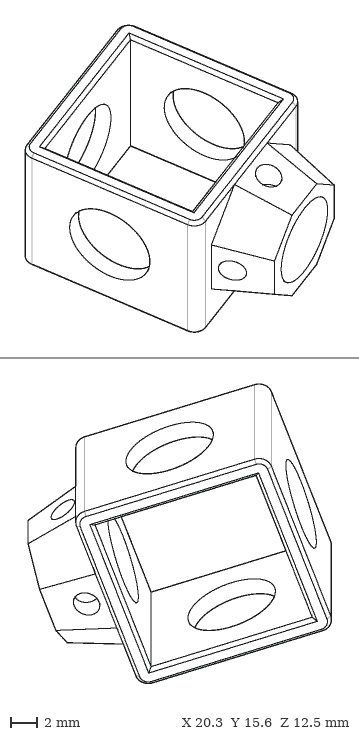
import cadquery as cq
import math

total_length = 20.3
pitch = total_length / 6.5
box_side = 5 * pitch
box_height = 4 * pitch
lug_length = total_length - box_side

wall = 1.36
corner_radius = 1.0
edge_chamfer = 0.3
window_diameter = 7.0

lug_sides = 8
lug_base_flats = box_height - 2 * edge_chamfer
lug_end_flats = 9.02
lug_hole_y_diameter = 2.1
lug_hole_z_diameter = 2.0
lug_hole_x = box_side / 2 + pitch / 2


def make_frame():
    """Open square tube with rounded corners and chamfered rims."""
    outer = (
        cq.Workplane("XY")
        .box(box_side, box_side, box_height)
        .edges("|Z")
        .fillet(corner_radius)
    )
    opening_side = box_side - 2 * wall
    opening = cq.Workplane("XY").box(opening_side, opening_side, box_height)
    return outer.cut(opening).faces("<Z or >Z").edges().chamfer(edge_chamfer)


def octagon_diameter(across_flats):
    """Corner-to-corner diameter of a regular octagon."""
    return across_flats / math.cos(math.pi / lug_sides)


def make_lug():
    """Octagonal frustum with flats facing Y and Z, narrowing towards +X."""
    flats_square_angle = 180 / lug_sides
    return (
        cq.Workplane("YZ", origin=(box_side / 2, 0, 0))
        .transformed(rotate=(0, 0, flats_square_angle))
        .polygon(lug_sides, octagon_diameter(lug_base_flats))
        .workplane(offset=lug_length)
        .polygon(lug_sides, octagon_diameter(lug_end_flats))
        .loft(ruled=True)
    )


def through_hole(axis, diameter, x=0.0):
    """Cylinder along the given axis, long enough to cross the whole part."""
    return cq.Solid.makeCylinder(
        diameter / 2,
        2 * total_length,
        cq.Vector(x, 0, 0) - axis * total_length,
        axis,
    )


x_axis = cq.Vector(1, 0, 0)
y_axis = cq.Vector(0, 1, 0)
z_axis = cq.Vector(0, 0, 1)

body = make_frame().union(make_lug())

for axis in (x_axis, y_axis):
    body = body.cut(through_hole(axis, window_diameter))

body = body.cut(through_hole(y_axis, lug_hole_y_diameter, lug_hole_x))
body = body.cut(through_hole(z_axis, lug_hole_z_diameter, lug_hole_x))

result = body